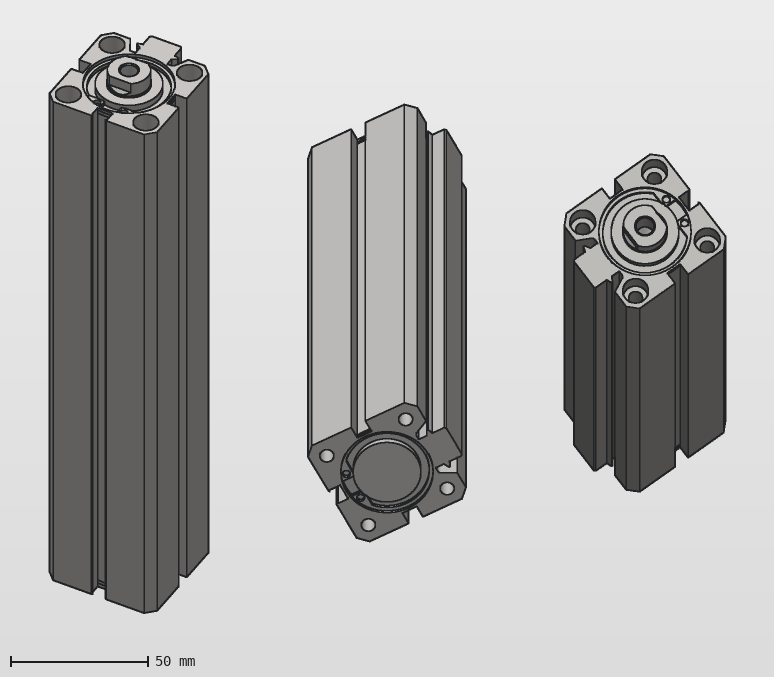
import cadquery as cq
import math


housing_height = 226.5
body_width = 45.0
body_half = body_width / 2
corner_chamfer = 3.5
bolt_pitch = 32.5
bolt_hole_diameter = 5.1
bolt_counterbore_diameter = 9.3
bolt_counterbore_depth = 9.3

bore_radius = 16.8
groove_radius = 17.5
groove_offset = 1.5
ring_thickness = 1.5
ring_bottoms = (groove_offset, housing_height - groove_offset - ring_thickness)

plain_slot_width = 5.8
lipped_slot_width = 6.3
slot_half_width = lipped_slot_width / 2
slot_lip_half_width = 2.5
slot_lip_depth = 0.35
groove_wall = 0.15
slot_floor = groove_radius + groove_wall

rail_width = 13.3
rail_half_width = rail_width / 2
rail_root = bore_radius - 2.3
rail_top = body_half + 5.1
rail_chamfer = 0.58
bead_half_width = 8.6
bead_high = 22.1
bead_low = 19.8
bead_tip = 21.2
bead_tip_half_height = 0.2
channel_floor = 16.5
channel_corner_radius = 1.5
channel_floor_half_width = 9.0
channel_mouth_half_width = 12.0

ring_inner_radius = 15.4
ring_gap_half_width = 3.5
ear_edge = -11.5
ear_hole_diameter = 2.8
ear_hole_x = 5.5
ear_hole_y = -13.7

boss_radius = 12.3
boss_height = groove_offset + ring_thickness
cover_length = 18.6

rod_radius = 8.0
rod_guide_radius = 8.2
rod_step_height = 0.7
rod_top = 233.0
flat_half_width = 6.5
flat_length = 4.2
thread_hole_radius = 3.3
thread_hole_depth = 11.6
thread_chamfer = 0.5
drill_point_angle = 118


def extruded(points, height):
    return cq.Workplane("XY").polyline(points).close().extrude(height)


def box(x_min, x_max, y_min, y_max, z_min, z_max):
    size = (x_max - x_min, y_max - y_min, z_max - z_min)
    return cq.Workplane("XY").box(*size, centered=False).translate((x_min, y_min, z_min))


def disc(radius, bottom, height):
    return cq.Workplane("XY").workplane(offset=bottom).circle(radius).extrude(height)


def lipped_slot():
    """Slot cutter for the -Y side, narrowed near its mouth by a pointed lip on each wall."""
    right_wall = [
        (slot_half_width, -body_half),
        (slot_lip_half_width, slot_lip_depth - body_half),
        (slot_half_width, 2 * slot_lip_depth - body_half),
        (slot_half_width, -slot_floor),
    ]
    left_wall = [(-x, y) for x, y in reversed(right_wall)]
    return extruded(right_wall + left_wall, housing_height)


def plain_slot(side):
    """Straight slot cutter for the +X side (side = 1) or the -X side (side = -1)."""
    x_min, x_max = sorted((side * slot_floor, side * body_half))
    return box(x_min, x_max, -plain_slot_width / 2, plain_slot_width / 2, 0, housing_height)


def rail_channels():
    """Wide opening on the +Y side, with a rounded floor, in which the rail stands."""
    outline = [
        (-channel_mouth_half_width, body_half),
        (-channel_floor_half_width, channel_floor),
        (channel_floor_half_width, channel_floor),
        (channel_mouth_half_width, body_half),
    ]
    channels = extruded(outline, housing_height)
    return channels.edges("|Z and <Y").fillet(channel_corner_radius)


def rail():
    """Rail with a pointed bead along each flank."""
    right_side = [
        (rail_half_width, rail_root),
        (rail_half_width, bead_low),
        (bead_half_width, bead_tip - bead_tip_half_height),
        (bead_half_width, bead_tip + bead_tip_half_height),
        (rail_half_width, bead_high),
        (rail_half_width, rail_top - rail_chamfer),
        (rail_half_width - rail_chamfer, rail_top),
    ]
    left_side = [(-x, y) for x, y in reversed(right_side)]
    return extruded(right_side + left_side, housing_height)


def make_housing():
    housing = cq.Workplane("XY").rect(body_width, body_width).extrude(housing_height)
    housing = housing.edges("|Z").chamfer(corner_chamfer)
    housing = housing.cut(rail_channels()).union(rail())
    housing = housing.cut(lipped_slot())
    for side in (-1, 1):
        housing = housing.cut(plain_slot(side))

    housing = housing.cut(disc(bore_radius, 0, housing_height))
    for bottom in ring_bottoms:
        housing = housing.cut(disc(groove_radius, bottom, ring_thickness))

    return (
        housing.faces(">Z")
        .workplane(origin=(0, 0, housing_height))
        .rect(bolt_pitch, bolt_pitch, forConstruction=True)
        .vertices()
        .cboreHole(bolt_hole_diameter, bolt_counterbore_diameter, bolt_counterbore_depth)
    )


def make_snap_ring(bottom):
    """Open ring in a groove, with two pierced ears facing the -Y side."""
    r = groove_radius
    opening = disc(ring_inner_radius, bottom, ring_thickness)
    opening = opening.intersect(box(-r, r, ear_edge, r, bottom, bottom + ring_thickness))
    opening = opening.union(disc(boss_radius, bottom, ring_thickness))
    gap = box(-ring_gap_half_width, ring_gap_half_width, -r, 0, bottom, bottom + ring_thickness)
    ear_holes = (
        cq.Workplane("XY")
        .workplane(offset=bottom)
        .pushPoints([(-ear_hole_x, ear_hole_y), (ear_hole_x, ear_hole_y)])
        .circle(ear_hole_diameter / 2)
        .extrude(ring_thickness)
    )
    return disc(r, bottom, ring_thickness).cut(opening).cut(gap).cut(ear_holes)


def make_front_cover():
    """Rod guide whose boss passes through the snap ring."""
    shoulder = housing_height - boss_height
    cover = disc(bore_radius, shoulder - cover_length, cover_length)
    cover = cover.union(disc(boss_radius, shoulder, boss_height))
    return cover.cut(disc(rod_guide_radius, shoulder - cover_length, cover_length + boss_height))


def make_rear_cover():
    """Plug whose boss passes through the rear snap ring."""
    return disc(boss_radius, 0, boss_height).union(disc(bore_radius, boss_height, cover_length))


def make_rod():
    """Rod with two wrench flats that run out in 45 degree slopes, and a drilled end."""
    bottom = boss_height + cover_length
    step = housing_height + rod_step_height
    rod = disc(rod_guide_radius, bottom, step - bottom).union(disc(rod_radius, step, rod_top - step))

    flat_bottom = rod_top - flat_length
    run_out = rod_radius - flat_half_width
    flat = (
        cq.Workplane("YZ")
        .polyline(
            [
                (flat_half_width, rod_top),
                (flat_half_width, flat_bottom),
                (rod_radius, flat_bottom - run_out),
                (rod_radius, rod_top),
            ]
        )
        .close()
        .extrude(rod_radius, both=True)
    )
    rod = rod.cut(flat).cut(flat.mirror("XZ"))

    cone_height = thread_hole_radius / math.tan(math.radians(drill_point_angle / 2))
    hole = (
        cq.Workplane("XZ")
        .polyline(
            [
                (0, rod_top),
                (thread_hole_radius + thread_chamfer, rod_top),
                (thread_hole_radius, rod_top - thread_chamfer),
                (thread_hole_radius, rod_top - thread_hole_depth),
                (0, rod_top - thread_hole_depth - cone_height),
            ]
        )
        .close()
        .revolve()
    )
    return rod.cut(hole)


housing = make_housing()
front_cover = make_front_cover()
rear_cover = make_rear_cover()
rod = make_rod()
snap_rings = []
for ring_bottom in ring_bottoms:
    snap_rings.append(make_snap_ring(ring_bottom).val())

result = cq.Compound.makeCompound(
    [housing.val(), front_cover.val(), rear_cover.val(), rod.val(), *snap_rings]
)